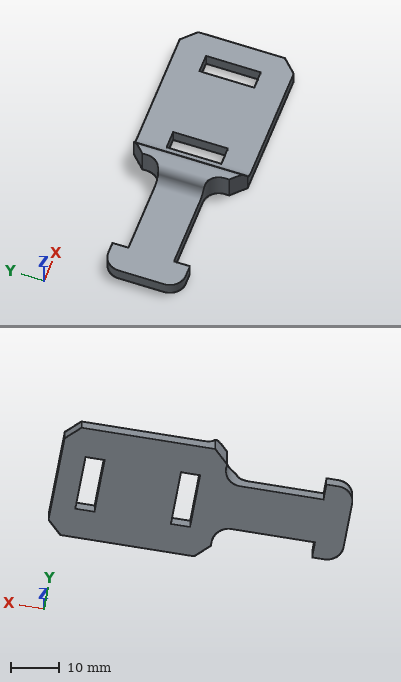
import cadquery as cq
import math

total_length = 61.0
thickness = 3.0

head_length = 6.0
head_width = 17.0
head_corner_radius = 3.5
neck_width = 10.0
neck_fillet_radius = 3.5

plate_start = 27.0
plate_width = 25.0
plate_chamfer = 3.0
slot_length = 4.0
slot_width = 12.0
slot_starts = (32.0, 52.0)

ridge_center = plate_start
ridge_height = 6.0
ridge_flat = 2.0
crest_radius = 2.0
foot_radius = 2.5


def plan_outline():
    """Full-height blank with the strap's outline as seen along Z."""
    head = (
        cq.Workplane("XY")
        .box(head_length, head_width, ridge_height, centered=(False, True, False))
        .edges("|Z and <X")
        .fillet(head_corner_radius)
    )
    neck = cq.Workplane("XY").box(plate_start, neck_width, ridge_height, centered=(False, True, False))
    plate = (
        cq.Workplane("XY")
        .box(total_length - plate_start, plate_width, ridge_height, centered=(False, True, False))
        .edges("|Z")
        .chamfer(plate_chamfer)
        .translate((plate_start, 0, 0))
    )
    blank = head.union(neck).union(plate)
    neck_corners = cq.selectors.BoxSelector(
        (head_length + neck_fillet_radius, -head_width / 2, 0),
        (plate_start + plate_chamfer / 2, head_width / 2, ridge_height),
    )
    return blank.edges("|Z").edges(neck_corners).fillet(neck_fillet_radius)


def side_profile():
    """Strap cross-section in the XZ plane, extruded over the whole plate width."""
    rise = ridge_height - thickness
    radius_sum = crest_radius + foot_radius
    arc_run = math.sqrt(radius_sum**2 - (radius_sum - rise) ** 2)
    arc_angle = math.asin(arc_run / radius_sum)
    crest_end = ridge_flat / 2
    foot_end = crest_end + arc_run

    def foot_point(side, angle):
        """Point on a foot arc, at an angle from where it leaves the flat strap."""
        offset = foot_end - foot_radius * math.sin(angle)
        return (ridge_center + side * offset, thickness + foot_radius * (1 - math.cos(angle)))

    def crest_point(side, angle):
        """Point on a crest arc, at an angle from where it leaves the flat crest."""
        offset = crest_end + crest_radius * math.sin(angle)
        return (ridge_center + side * offset, ridge_height - crest_radius * (1 - math.cos(angle)))

    left, right = -1, 1
    return (
        cq.Workplane("XZ")
        .moveTo(0, 0)
        .lineTo(0, thickness)
        .lineTo(ridge_center - foot_end, thickness)
        .threePointArc(foot_point(left, arc_angle / 2), foot_point(left, arc_angle))
        .threePointArc(crest_point(left, arc_angle / 2), (ridge_center - crest_end, ridge_height))
        .lineTo(ridge_center + crest_end, ridge_height)
        .threePointArc(crest_point(right, arc_angle / 2), foot_point(right, arc_angle))
        .threePointArc(foot_point(right, arc_angle / 2), (ridge_center + foot_end, thickness))
        .lineTo(total_length, thickness)
        .lineTo(total_length, 0)
        .close()
        .extrude(plate_width / 2, both=True)
    )


def slots():
    """Bodies that cut the two slots through the plate."""
    return (
        cq.Workplane("XY")
        .pushPoints([(start + slot_length / 2, 0) for start in slot_starts])
        .rect(slot_length, slot_width)
        .extrude(ridge_height)
    )


result = plan_outline().intersect(side_profile()).cut(slots())